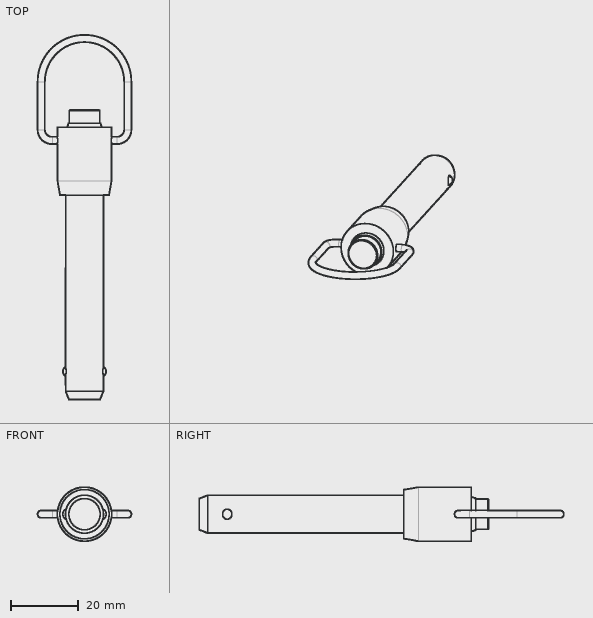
import cadquery as cq


shank_diameter = 11.2
shank_length = 60.2
tip_diameter = 9.2
tip_length = 2.5

ball_diameter = 3.2
ball_span = 12.8
ball_from_tip = 8.3

handle_diameter = 16.0
handle_length = 20.0
shoulder_diameter = 14.5
taper_length = 4.3

collar_base_diameter = 10.2
collar_top_diameter = 9.5
collar_height = 1.2
button_diameter = 9.0
button_height = 5.1
button_chamfer = 0.25

ring_width = 27.69
wire_diameter = 2.2
ring_top = 47.24
bend_radius = 3.2
ring_foot_y = 16.1
foot_embedding = 2.0


def make_pin_body():
    """Revolved shank, handle, collar and button, from the tip to the button top."""
    collar_top = handle_length + collar_height
    button_top = handle_length + button_height
    profile = [
        (0, -shank_length),
        (tip_diameter / 2, -shank_length),
        (shank_diameter / 2, tip_length - shank_length),
        (shank_diameter / 2, 0),
        (shoulder_diameter / 2, 0),
        (handle_diameter / 2, taper_length),
        (handle_diameter / 2, handle_length),
        (collar_base_diameter / 2, handle_length),
        (collar_top_diameter / 2, collar_top),
        (button_diameter / 2, collar_top),
        (button_diameter / 2, button_top - button_chamfer),
        (button_diameter / 2 - button_chamfer, button_top),
        (0, button_top),
    ]
    return cq.Workplane("XY").polyline(profile).close().revolve(360, (0, 0, 0), (0, 1, 0))


def make_ball(side):
    """Locking ball standing out of the shank; side is -1 or 1 along X."""
    ball_x = side * (ball_span - ball_diameter) / 2
    ball_y = ball_from_tip - shank_length
    return cq.Workplane("XY").sphere(ball_diameter / 2).translate((ball_x, ball_y, 0))


def make_ring():
    """Round wire bent into a bail, with both feet ending inside the handle."""
    arch_radius = (ring_width - wire_diameter) / 2
    arch_center_y = ring_top - ring_width / 2
    bend_center_y = ring_foot_y + bend_radius
    bend_end_x = arch_radius - bend_radius
    foot_end_x = handle_diameter / 2 - foot_embedding
    path = (
        cq.Workplane("XY")
        .moveTo(-foot_end_x, ring_foot_y)
        .lineTo(-bend_end_x, ring_foot_y)
        .radiusArc((-arch_radius, bend_center_y), bend_radius)
        .lineTo(-arch_radius, arch_center_y)
        .threePointArc((0, arch_center_y + arch_radius), (arch_radius, arch_center_y))
        .lineTo(arch_radius, bend_center_y)
        .radiusArc((bend_end_x, ring_foot_y), bend_radius)
        .lineTo(foot_end_x, ring_foot_y)
    )
    wire_section = cq.Workplane("YZ", origin=(-foot_end_x, ring_foot_y, 0)).circle(wire_diameter / 2)
    return wire_section.sweep(path)


result = make_pin_body().union(make_ring())
for side in (-1, 1):
    result = result.union(make_ball(side))